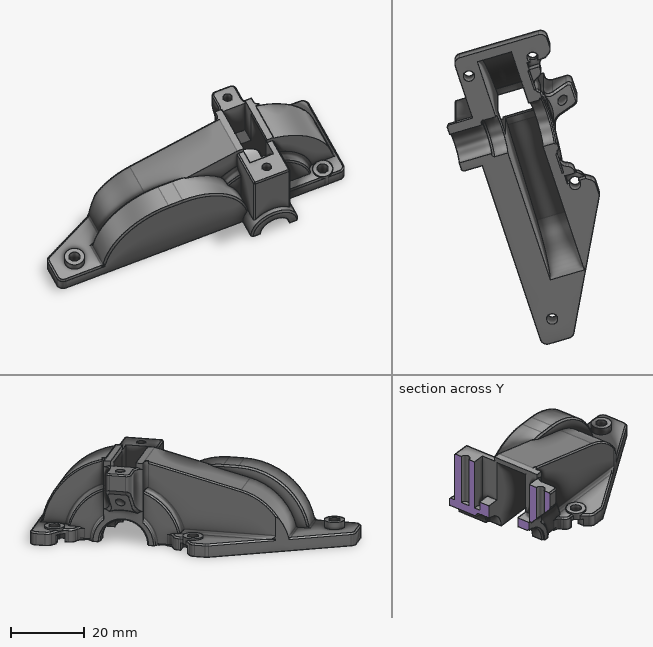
import cadquery as cq
import math

TALL = 100.0
HALF_ROOT = math.sqrt(0.5)

PLATE_THICKNESS = 3.7
PLATE_BACK = 24.75
PLATE_FRONT = -61.75
PLATE_LEFT = -14.85
PLATE_RIGHT_BACK = 11.33
PLATE_RIGHT_FRONT = 12.95
PLATE_TAPER_START = -24.8
PLATE_TAPER_END_X = 4.2
PLATE_CORNER_RADIUS = 1.9
PLATE_CHAMFER = 0.45

PAD_SHELF_X = -10.45
BACK_PAD_Y = 19.3
BACK_SHELF_Y = (16.2, 13.6)
BACK_INNER_Y = 12.2
FRONT_INNER_Y = -13.4
FRONT_SHELF_Y = (-14.7, -17.4)
FRONT_PAD_Y = -20.3

LOW_BOSS_TOP = 4.15
TALL_BOSS_TOP = 5.75
BOSSES = [
    (8.64, 18.9, LOW_BOSS_TOP),
    (-9.5, 18.9, LOW_BOSS_TOP),
    (-9.5, -19.7, LOW_BOSS_TOP),
    (8.1, -55.1, TALL_BOSS_TOP),
]
BOSS_DIAMETER = 5.5
SCREW_HOLE_DIAMETER = 3.0

TOP = 23.35
COVER_HALF_WIDTH = 6.0
COVER_RADIUS_BACK = 23.7
COVER_RADIUS_FRONT = 17.4
COVER_FRONT_Y = -28.2
COVER_CHAMFER = 0.4
COVER_WALL = 1.5
COVER_FOOT_RADIUS = 1.0
CAVITY_LEFT = -4.5
CAVITY_RIGHT = 5.2

DRUM_RADIUS = 20.0
DRUM_BACK_Y = -24.8
DRUM_FRONT_Y = -29.0
DRUM_CHAMFER = 0.5
END_FOOT_RADIUS = 0.5

DISC_RADII = (17.25, 16.0, 15.55)
RING_RADII = (9.75, 8.9, 8.45)
DISC_FACE = 7.55
RING_FACE = 8.4
RIGHT_DISC_FACE = 8.5
FACE_BEVEL = 0.4
JOINT_BEVEL = 0.43

HUB_RADIUS = 7.0
HUB_END = 18.7
HUB_CHAMFER = 0.5
LEFT_BORE_RADIUS = 6.6
LEFT_BORE_CHAMFER = 0.4
LEFT_MOUTH_DEPTH = 0.8
SEAT_RADIUS = 5.5
SEAT_END = 9.5
SEAT_CHAMFER = 0.5
SHAFT_BORE_RADIUS = 4.35

HOLDER_HALF_WIDTH = 5.45
HOLDER_TOP = 22.05
BOX_END = 16.95
HOLDER_CHAMFER = 0.4
PILLAR_FLARE = 1.0
SLOT_HALF_WIDTH = 3.5
SLOT_END = 10.1
POCKET_START = 8.4
SLOT_FLOOR = 9.6
TAB_END = -15.5
TAB_TIP_BOTTOM = 16.7
TAB_ROOT_BOTTOM = 9.0
TAB_FLARE = HOLDER_HALF_WIDTH - SLOT_HALF_WIDTH
TAB_CORNER_RADIUS = 1.3
TAB_TOP_CHAMFER = 0.4
TAB_BOTTOM_CHAMFER = 0.6
PIN_HOLE_DIAMETER = 2.5
PIN_HOLES_X = (-12.1, 13.3)

NOTCHES = [(16.8, 2.0, 2.4), (-17.7, 2.4, 2.1)]


def box(x0, x1, y0, y1, z0, z1):
    return cq.Workplane("XY").box(x1 - x0, y1 - y0, z1 - z0, centered=False).translate((x0, y0, z0))


def cylinder_x(radius, x0, x1):
    return cq.Workplane("YZ", origin=(x0, 0, 0)).circle(radius).extrude(x1 - x0)


def cylinder_z(diameter, x, y, z0, z1):
    return cq.Workplane("XY", origin=(x, y, z0)).circle(diameter / 2).extrude(z1 - z0)


def plate_outline():
    return cq.Workplane("XY").polyline([
        (PLATE_RIGHT_BACK, PLATE_BACK),
        (PLATE_LEFT, PLATE_BACK),
        (PLATE_LEFT, BACK_PAD_Y),
        (PAD_SHELF_X, BACK_SHELF_Y[0]),
        (PAD_SHELF_X, BACK_SHELF_Y[1]),
        (-DISC_FACE, BACK_INNER_Y),
        (-DISC_FACE, FRONT_INNER_Y),
        (PAD_SHELF_X, FRONT_SHELF_Y[0]),
        (PAD_SHELF_X, FRONT_SHELF_Y[1]),
        (PLATE_LEFT, FRONT_PAD_Y),
        (PLATE_LEFT, PLATE_TAPER_START),
        (PLATE_TAPER_END_X, PLATE_FRONT),
        (PLATE_RIGHT_FRONT, PLATE_FRONT),
        (PLATE_RIGHT_FRONT, 0),
        (PLATE_RIGHT_BACK, 0),
    ]).close()


def make_plate():
    plate = plate_outline().extrude(PLATE_THICKNESS)
    corners = plate.edges("|Z").filter(lambda edge: abs(edge.Center().y) > HUB_RADIUS)
    plate = corners.fillet(PLATE_CORNER_RADIUS)
    return plate.faces(">Z").edges().chamfer(PLATE_CHAMFER)


def cover_shape(inset, x0, x1):
    """Solid under the cover outline moved inward by inset, between x0 and x1."""
    back = COVER_RADIUS_BACK - inset
    front = COVER_RADIUS_FRONT - inset
    top = TOP - inset
    edge = HOLDER_HALF_WIDTH
    to_edge = math.hypot(-edge - COVER_FRONT_Y, top)
    tangent_angle = math.atan2(top, -edge - COVER_FRONT_Y) + math.acos(front / to_edge)
    mid_angle = (tangent_angle + math.pi) / 2

    def on_front(angle):
        return (COVER_FRONT_Y + front * math.cos(angle), front * math.sin(angle))

    return (
        cq.Workplane("YZ", origin=(x0, 0, 0))
        .moveTo(back, 0)
        .threePointArc((back * HALF_ROOT, back * HALF_ROOT), (edge, math.sqrt(back ** 2 - edge ** 2)))
        .lineTo(edge, top)
        .lineTo(-edge, top)
        .lineTo(*on_front(tangent_angle))
        .threePointArc(on_front(mid_angle), on_front(math.pi))
        .close()
        .extrude(x1 - x0)
    )


def foot_profile(plane, radius, wall, direction):
    """Section of a concave foot between the plate top and an upright wall."""
    reach = direction * radius
    arc = 1 - HALF_ROOT
    return (
        cq.Workplane(plane)
        .moveTo(wall, PLATE_THICKNESS + radius)
        .threePointArc((wall + reach * arc, PLATE_THICKNESS + radius * arc),
                       (wall + reach, PLATE_THICKNESS))
        .lineTo(wall - reach, PLATE_THICKNESS)
        .lineTo(wall - reach, PLATE_THICKNESS + radius)
        .close()
    )


def end_foot(centre, radius, direction, x0, x1):
    """Concave foot along the plate where a round end meets it."""
    wall = centre + direction * math.sqrt(radius ** 2 - (PLATE_THICKNESS + END_FOOT_RADIUS) ** 2)
    profile = foot_profile("YZ", END_FOOT_RADIUS, wall, direction)
    return profile.extrude(x1 - x0).translate((x0, 0, 0))


def make_cover():
    cover = cover_shape(0, -COVER_HALF_WIDTH, COVER_HALF_WIDTH)
    cover = cover.faces("<X").edges("not <Z").chamfer(COVER_CHAMFER)
    side_length = -COVER_FRONT_Y + COVER_RADIUS_FRONT - COVER_WALL
    side_foot = foot_profile("XZ", COVER_FOOT_RADIUS, -COVER_HALF_WIDTH, -1).extrude(side_length)
    cover = cover.union(side_foot)
    ends = [(0, COVER_RADIUS_BACK, 1), (COVER_FRONT_Y, COVER_RADIUS_FRONT, -1)]
    for centre, radius, direction in ends:
        foot = end_foot(centre, radius, direction, -COVER_HALF_WIDTH, COVER_HALF_WIDTH)
        cover = cover.union(foot)
    return cover.intersect(plate_outline().extrude(TALL))


def make_drum():
    x0 = CAVITY_RIGHT
    x1 = PLATE_RIGHT_FRONT
    drum = (
        cq.Workplane("YZ", origin=(x0, 0, 0))
        .moveTo(DRUM_BACK_Y + DRUM_RADIUS, 0)
        .radiusArc((DRUM_BACK_Y, DRUM_RADIUS), -DRUM_RADIUS)
        .lineTo(DRUM_FRONT_Y, DRUM_RADIUS)
        .radiusArc((DRUM_FRONT_Y - DRUM_RADIUS, 0), -DRUM_RADIUS)
        .close()
        .extrude(x1 - x0)
    )
    drum = drum.faces("<X or >X").edges("not <Z").chamfer(DRUM_CHAMFER)
    return drum.union(end_foot(DRUM_FRONT_Y, DRUM_RADIUS, -1, x0, x1))


def raised_disc(radii, base, face, direction):
    """Disc about the shaft with a hollow-curved foot and a bevelled face."""
    foot, bevel, flat = radii
    bevel_start = face - FACE_BEVEL
    arc = 1 - HALF_ROOT
    curve_mid = (base + (bevel_start - base) * arc, bevel + (foot - bevel) * arc)
    return (
        cq.Workplane("XY")
        .moveTo(0, 0)
        .lineTo(0, foot)
        .lineTo(direction * base, foot)
        .threePointArc((direction * curve_mid[0], curve_mid[1]), (direction * bevel_start, bevel))
        .lineTo(direction * face, flat)
        .lineTo(direction * face, 0)
        .close()
        .revolve(360, (0, 0, 0), (1, 0, 0))
    )


def bevel_disc_joint(body):
    """Bevel along the bottom edge of the left disc face."""
    wedge = (
        cq.Workplane("XZ", origin=(0, DISC_RADII[2], 0))
        .polyline([(-DISC_FACE, 0), (-DISC_FACE, JOINT_BEVEL), (-DISC_FACE + JOINT_BEVEL, 0)])
        .close()
        .extrude(2 * DISC_RADII[2])
    )
    return body.cut(wedge)


def make_pillar():
    outer = HOLDER_HALF_WIDTH + PILLAR_FLARE
    flare_x = -COVER_HALF_WIDTH - PILLAR_FLARE
    inner_x = -COVER_HALF_WIDTH + COVER_CHAMFER
    return (
        cq.Workplane("XY")
        .moveTo(COVER_HALF_WIDTH, HOLDER_HALF_WIDTH)
        .lineTo(inner_x, HOLDER_HALF_WIDTH)
        .lineTo(inner_x, outer)
        .lineTo(-COVER_HALF_WIDTH, outer)
        .radiusArc((flare_x, HOLDER_HALF_WIDTH), PILLAR_FLARE)
        .lineTo(-RING_FACE, HOLDER_HALF_WIDTH)
        .lineTo(-RING_FACE, -HOLDER_HALF_WIDTH)
        .lineTo(flare_x, -HOLDER_HALF_WIDTH)
        .radiusArc((-COVER_HALF_WIDTH, -outer), PILLAR_FLARE)
        .lineTo(inner_x, -outer)
        .lineTo(inner_x, -HOLDER_HALF_WIDTH)
        .lineTo(COVER_HALF_WIDTH, -HOLDER_HALF_WIDTH)
        .close()
        .extrude(TOP)
    )


def make_box():
    holder = box(0, BOX_END, -HOLDER_HALF_WIDTH, HOLDER_HALF_WIDTH, 0, HOLDER_TOP)
    return holder.faces(">Z or >X").edges("not (<X or <Z)").chamfer(HOLDER_CHAMFER)


def make_tab():
    root = -RING_FACE
    side = SLOT_HALF_WIDTH
    wide = side + TAB_FLARE
    outline = (
        cq.Workplane("XY")
        .moveTo(root, wide)
        .radiusArc((root - TAB_FLARE, side), TAB_FLARE)
        .lineTo(TAB_END, side)
        .lineTo(TAB_END, -side)
        .lineTo(root - TAB_FLARE, -side)
        .radiusArc((root, -wide), TAB_FLARE)
        .close()
        .extrude(TALL)
    )
    outline = outline.edges("|Z and <X").fillet(TAB_CORNER_RADIUS)
    profile = (
        cq.Workplane("XZ", origin=(0, wide, 0))
        .polyline([
            (root, TAB_ROOT_BOTTOM),
            (root, HOLDER_TOP),
            (TAB_END, HOLDER_TOP),
            (TAB_END, TAB_TIP_BOTTOM),
        ])
        .close()
        .extrude(2 * wide)
    )
    tab = outline.intersect(profile)
    tab = tab.faces(">Z").edges("not >X").chamfer(TAB_TOP_CHAMFER)
    slope = tab.faces(cq.selectors.DirectionMinMaxSelector(cq.Vector(-1, 0, -1), True))
    tab = slope.edges("not >X").chamfer(TAB_BOTTOM_CHAMFER)
    return tab.cut(cylinder_x(RING_RADII[0], TAB_END, root))


def make_hub():
    return cylinder_x(HUB_RADIUS, CAVITY_RIGHT, HUB_END).faces(">X").chamfer(HUB_CHAMFER)


def cut_slot(body):
    slot = box(-RING_FACE, SLOT_END, -SLOT_HALF_WIDTH, SLOT_HALF_WIDTH, SLOT_FLOOR, TALL)
    window = box(CAVITY_LEFT, CAVITY_RIGHT, -SLOT_HALF_WIDTH, SLOT_HALF_WIDTH, 0, TALL)
    pocket = box(POCKET_START, SLOT_END, -SLOT_HALF_WIDTH, SLOT_HALF_WIDTH, 0, TALL)
    return body.cut(slot).cut(window).cut(pocket)


def cut_bores(body):
    left = cylinder_x(LEFT_BORE_RADIUS, -RING_FACE, 0)
    left_wide = LEFT_BORE_RADIUS + LEFT_BORE_CHAMFER
    left_mouth = cylinder_x(left_wide, -RING_FACE, -RING_FACE + LEFT_MOUTH_DEPTH)
    left_mouth = left_mouth.faces(">X").chamfer(LEFT_BORE_CHAMFER)
    seat = cylinder_x(SEAT_RADIUS, 0, SEAT_END).faces(">X").chamfer(SEAT_CHAMFER)
    shaft = cylinder_x(SHAFT_BORE_RADIUS, 0, HUB_END)
    return body.cut(left).cut(left_mouth).cut(seat).cut(shaft)


def build():
    body = make_plate().union(make_cover()).union(make_drum())
    body = body.union(raised_disc(DISC_RADII, COVER_HALF_WIDTH, DISC_FACE, -1))
    body = body.union(raised_disc(DISC_RADII, COVER_HALF_WIDTH, RIGHT_DISC_FACE, 1))
    body = bevel_disc_joint(body)
    body = body.union(raised_disc(RING_RADII, DISC_FACE, RING_FACE, -1))
    body = body.union(make_pillar()).union(make_box()).union(make_tab())
    body = body.cut(cover_shape(COVER_WALL, CAVITY_LEFT, CAVITY_RIGHT))
    body = cut_slot(body)
    for x in PIN_HOLES_X:
        body = body.cut(cylinder_z(PIN_HOLE_DIAMETER, x, 0, 0, TALL))
    body = body.union(make_hub())
    body = cut_bores(body)
    for x, y, top in BOSSES:
        body = body.union(cylinder_z(BOSS_DIAMETER, x, y, 0, top))
    for x, y, top in BOSSES:
        body = body.cut(cylinder_z(SCREW_HOLE_DIAMETER, x, y, 0, top))
    for y, width, height in NOTCHES:
        body = body.cut(box(PLATE_LEFT, -DISC_FACE, y - width / 2, y + width / 2, 0, height))
    return body.intersect(box(-TALL, TALL, -TALL, TALL, 0, TALL))


result = build()